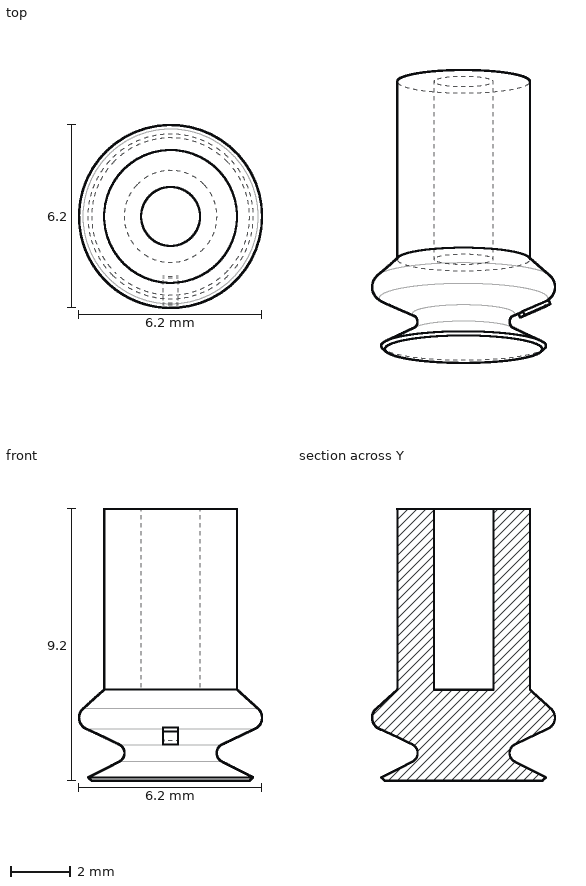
import cadquery as cq
import math

height = 9.2
stem_radius = 4.5 / 2
bore_radius = 2.0 / 2

lip_top_z = 0.12
neck_bottom_z = 0.66
neck_top_z = 1.22
bulge_bottom_z = 1.76
bulge_middle_z = 2.125
bulge_top_z = 2.45
shoulder_z = 3.09
neck_middle_z = (neck_bottom_z + neck_top_z) / 2

lip_bottom_radius = 2.67
lip_radius = 2.8
neck_edge_radius = 1.73
neck_radius = 1.56
bulge_bottom_radius = 2.85
bulge_radius = 3.1
bulge_top_radius = 2.96

tab_width = 0.51
tab_thickness = 0.14
tab_inner_radius = 2.02
tab_length = 1.01
tab_embed = 0.09


def make_body():
    """Revolve the stem and bellows outline around the Z axis."""
    outline = (
        cq.Workplane("XZ")
        .lineTo(lip_bottom_radius, 0)
        .lineTo(lip_radius, lip_top_z)
        .lineTo(neck_edge_radius, neck_bottom_z)
        .threePointArc((neck_radius, neck_middle_z), (neck_edge_radius, neck_top_z))
        .lineTo(bulge_bottom_radius, bulge_bottom_z)
        .threePointArc((bulge_radius, bulge_middle_z), (bulge_top_radius, bulge_top_z))
        .lineTo(stem_radius, shoulder_z)
        .lineTo(stem_radius, height)
        .lineTo(0, height)
        .close()
    )
    return outline.revolve(360, (0, 0, 0), (0, 1, 0))


def make_bore():
    """Blind bore from the stem top down to the shoulder."""
    depth = height - shoulder_z
    return cq.Workplane("XY").workplane(offset=shoulder_z).circle(bore_radius).extrude(depth)


def make_tab():
    """Flat block parallel to the lower cone of the bulge, sunk slightly into it."""
    slope = (bulge_bottom_z - neck_top_z) / (bulge_bottom_radius - neck_edge_radius)
    start_z = neck_top_z + slope * (tab_inner_radius - neck_edge_radius)
    angle = math.degrees(math.atan(slope))
    block = cq.Workplane("XY").box(
        tab_width, tab_length, tab_thickness + tab_embed, centered=(True, False, False)
    )
    return (
        block.translate((0, -tab_length, -tab_thickness))
        .rotate((0, 0, 0), (1, 0, 0), -angle)
        .translate((0, -tab_inner_radius, start_z))
    )


result = make_body().cut(make_bore()).union(make_tab())